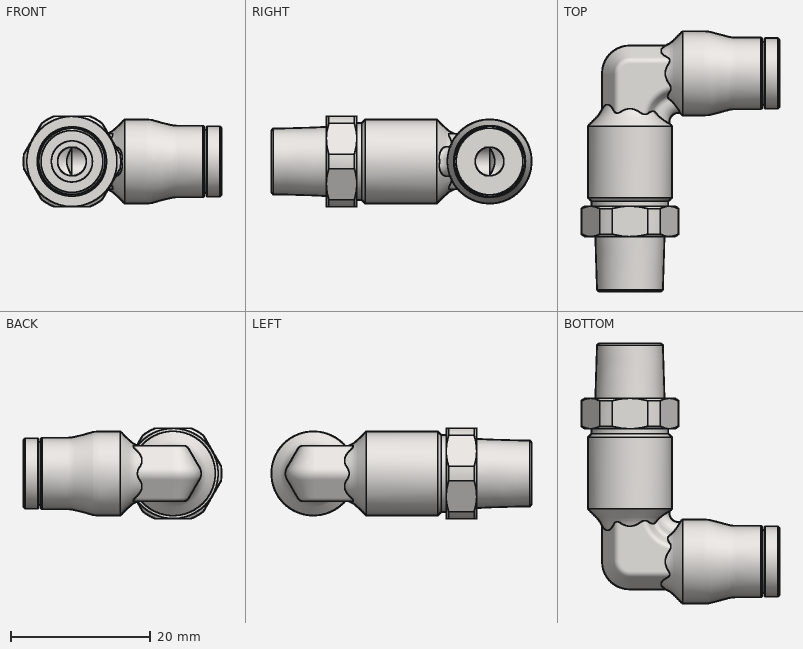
import cadquery as cq
import math


BODY_RADIUS = 6.05
SHOULDER_END = 7.55
CONE_RISE = 1.35
BLEND_START = 5.4
BLEND_RADIUS = 4.15
NECK_TIP = 4.1
NECK_TIP_RADIUS = 3.55

BODY_END = 17.85
BODY_CHAMFER = 0.52
COLLAR_RADIUS = BODY_RADIUS - BODY_CHAMFER

HEX_START = 19.05
HEX_END = 23.45
HEX_FLATS = 13.0
HEX_TURN = 30
HEX_CORNER_RADIUS = 7.0
HEX_CHAMFER_RADIAL = 0.52
HEX_CHAMFER_AXIAL = 0.37

THREAD_END = 31.35
THREAD_GAUGE = 27.4
THREAD_GAUGE_RADIUS = 4.85
THREAD_SLOPE = 1 / 32
THREAD_CHAMFER = 0.3

SOCKET_TAPER_START = 10.7
TAPER_START_BLEND = (11.5, 6.0)
TAPER_END_BLEND = (14.17, 5.27)
SLEEVE_START = 15.1
SLEEVE_RADIUS = 5.15
SLEEVE_END = 18.95
BUTTON_START = 19.3
BUTTON_RADIUS = 5.1
BUTTON_CHAMFER = 0.3
GROOVE_RADIUS = 4.55
GROOVE_EDGE_CHAMFER = 0.15
SOCKET_END = 21.5

ARM_HALF_HEIGHT = 4.0
OUTER_CORNER = 2.0
INNER_CORNER = 2.15
EDGE_FILLET = 0.95
RIDGE_FILLET = 1.72
ARM_SIDE_SLOPE = math.tan(math.radians(60))
WEB_HALF_THICKNESS = 2.15
WEB_EDGE = 5.7
WEB_ROOT_FILLET = 0.85
WEB_EDGE_FILLET = 1.7
BEND_CENTER = 6.95
FLAT_OVERLAP = 1.42

PICK_MARGIN = 0.05

STUD_BORE_RADIUS = 2.95
ELBOW_BORE_RADIUS = 2.05
DRILL_POINT_ANGLE = 120


def turned(profile, along_socket):
    """Revolve a (distance, radius) outline about the socket or the stud axis."""
    solid = profile.revolve(360, (0, 0, 0), (1, 0, 0))
    if along_socket:
        return solid
    return solid.rotate((0, 0, 0), (0, 0, 1), -90)


def shoulder_outline():
    """Neck, concave blend and 45 degree cone, up to the full body radius."""
    return (
        cq.Workplane("XY")
        .moveTo(NECK_TIP, 0)
        .lineTo(NECK_TIP, NECK_TIP_RADIUS)
        .lineTo(BLEND_START, BLEND_RADIUS)
        .tangentArcPoint((SHOULDER_END - CONE_RISE, BODY_RADIUS - CONE_RISE), relative=False)
        .lineTo(SHOULDER_END, BODY_RADIUS)
    )


def thread_radius(distance):
    return THREAD_GAUGE_RADIUS + (THREAD_GAUGE - distance) * THREAD_SLOPE


def make_stud():
    chamfer_start = THREAD_END - THREAD_CHAMFER
    outline = (
        shoulder_outline()
        .lineTo(BODY_END, BODY_RADIUS)
        .lineTo(BODY_END + BODY_CHAMFER, COLLAR_RADIUS)
        .lineTo(HEX_END, COLLAR_RADIUS)
        .lineTo(HEX_END, thread_radius(HEX_END))
        .lineTo(chamfer_start, thread_radius(chamfer_start))
        .lineTo(THREAD_END, thread_radius(THREAD_END) - THREAD_CHAMFER)
        .lineTo(THREAD_END, 0)
        .close()
    )
    return turned(outline, along_socket=False)


def make_hexagon():
    """Hexagon with flats at top and bottom, corners turned round and chamfered."""
    length = HEX_END - HEX_START
    face_radius = HEX_CORNER_RADIUS - HEX_CHAMFER_RADIAL
    envelope = turned(
        cq.Workplane("XY")
        .moveTo(HEX_START, 0)
        .lineTo(HEX_START, face_radius)
        .lineTo(HEX_START + HEX_CHAMFER_AXIAL, HEX_CORNER_RADIUS)
        .lineTo(HEX_END - HEX_CHAMFER_AXIAL, HEX_CORNER_RADIUS)
        .lineTo(HEX_END, face_radius)
        .lineTo(HEX_END, 0)
        .close(),
        along_socket=False,
    )
    prism = (
        cq.Workplane("XZ", origin=(0, -HEX_START, 0))
        .polygon(6, HEX_FLATS, circumscribed=True)
        .extrude(length)
        .rotate((0, 0, 0), (0, 1, 0), HEX_TURN)
    )
    return prism.intersect(envelope)


def make_socket():
    outline = (
        shoulder_outline()
        .lineTo(SOCKET_TAPER_START, BODY_RADIUS)
        .tangentArcPoint(TAPER_START_BLEND, relative=False)
        .lineTo(*TAPER_END_BLEND)
        .tangentArcPoint((SLEEVE_START, SLEEVE_RADIUS), relative=False)
        .lineTo(SLEEVE_END - GROOVE_EDGE_CHAMFER, SLEEVE_RADIUS)
        .lineTo(SLEEVE_END, SLEEVE_RADIUS - GROOVE_EDGE_CHAMFER)
        .lineTo(SLEEVE_END, GROOVE_RADIUS)
        .lineTo(BUTTON_START, GROOVE_RADIUS)
        .lineTo(BUTTON_START, BUTTON_RADIUS - GROOVE_EDGE_CHAMFER)
        .lineTo(BUTTON_START + GROOVE_EDGE_CHAMFER, BUTTON_RADIUS)
        .lineTo(SOCKET_END - BUTTON_CHAMFER, BUTTON_RADIUS)
        .lineTo(SOCKET_END, BUTTON_RADIUS - BUTTON_CHAMFER)
        .lineTo(SOCKET_END, 0)
        .close()
    )
    return turned(outline, along_socket=True)


def arm_section(points, fillets):
    """Section mirrored in Z from its upper points, with (corner X, radius) fillets."""
    lower = [(x, -z) for x, z in reversed(points) if z > 0]
    loop = points + lower
    sketch = cq.Sketch().polygon(loop + loop[:1])
    for corner_x, radius in fillets:
        near = cq.selectors.BoxSelector(
            (corner_x - PICK_MARGIN, -BODY_RADIUS, -PICK_MARGIN),
            (corner_x + PICK_MARGIN, BODY_RADIUS, PICK_MARGIN),
        )
        sketch = sketch.reset().vertices(near).fillet(radius)
    return sketch.reset()


def outer_section(inner_limit):
    """Outside of the hexagonal arm, from its ridge to a flat cut at inner_limit."""
    ridge = OUTER_CORNER + ARM_HALF_HEIGHT / ARM_SIDE_SLOPE
    points = [
        (inner_limit, ARM_HALF_HEIGHT),
        (-OUTER_CORNER, ARM_HALF_HEIGHT),
        (-ridge, 0),
    ]
    return arm_section(points, [(-OUTER_CORNER, EDGE_FILLET), (-ridge, RIDGE_FILLET)])


def inner_section():
    """Inside of the arm: flat, sloping side and a round-edged web."""
    web_root = INNER_CORNER + (ARM_HALF_HEIGHT - WEB_HALF_THICKNESS) / ARM_SIDE_SLOPE
    points = [
        (-FLAT_OVERLAP, ARM_HALF_HEIGHT),
        (INNER_CORNER, ARM_HALF_HEIGHT),
        (web_root, WEB_HALF_THICKNESS),
        (WEB_EDGE, WEB_HALF_THICKNESS),
    ]
    fillets = [
        (INNER_CORNER, EDGE_FILLET),
        (web_root, WEB_ROOT_FILLET),
        (WEB_EDGE, WEB_EDGE_FILLET),
    ]
    return arm_section(points, fillets)


def section_plane(distance):
    """Plane across the stud arm; its extrusions run along -Y."""
    return cq.Workplane("XZ", origin=(0, -distance, 0))


def swapped(solid):
    """Turn a stud-side solid into its counterpart on the socket side."""
    return solid.rotate((0, 0, 0), (1, -1, 0), 180)


def make_elbow():
    outer_leg = section_plane(0).placeSketch(outer_section(FLAT_OVERLAP)).extrude(SHOULDER_END)
    inner_leg = (
        section_plane(BEND_CENTER)
        .placeSketch(inner_section())
        .extrude(SHOULDER_END - BEND_CENTER)
    )
    outer_bend = (
        section_plane(0)
        .placeSketch(outer_section(0))
        .revolve(90, (0, 0, 0), (0, -1, 0))
    )
    inner_bend = (
        section_plane(BEND_CENTER)
        .placeSketch(inner_section())
        .revolve(90, (BEND_CENTER, 0, 0), (BEND_CENTER, -1, 0))
    )
    elbow = outer_bend.union(inner_bend)
    for leg in (outer_leg, inner_leg):
        elbow = elbow.union(leg).union(swapped(leg))
    return elbow


def elbow_bore_outline(length):
    """Outline of a drilled hole from length to the origin, with a drill point beyond."""
    point_length = ELBOW_BORE_RADIUS / math.tan(math.radians(DRILL_POINT_ANGLE / 2))
    return (
        cq.Workplane("XY")
        .moveTo(-point_length, 0)
        .lineTo(0, ELBOW_BORE_RADIUS)
        .lineTo(length, ELBOW_BORE_RADIUS)
        .lineTo(length, 0)
        .close()
    )


def make_bores():
    stud_bore = (
        section_plane(SHOULDER_END)
        .circle(STUD_BORE_RADIUS)
        .extrude(THREAD_END - SHOULDER_END)
    )
    return (
        turned(elbow_bore_outline(SOCKET_END), along_socket=True)
        .union(turned(elbow_bore_outline(SHOULDER_END), along_socket=False))
        .union(stud_bore)
    )


result = (
    make_elbow()
    .union(make_stud())
    .union(make_hexagon())
    .union(make_socket())
    .cut(make_bores())
)